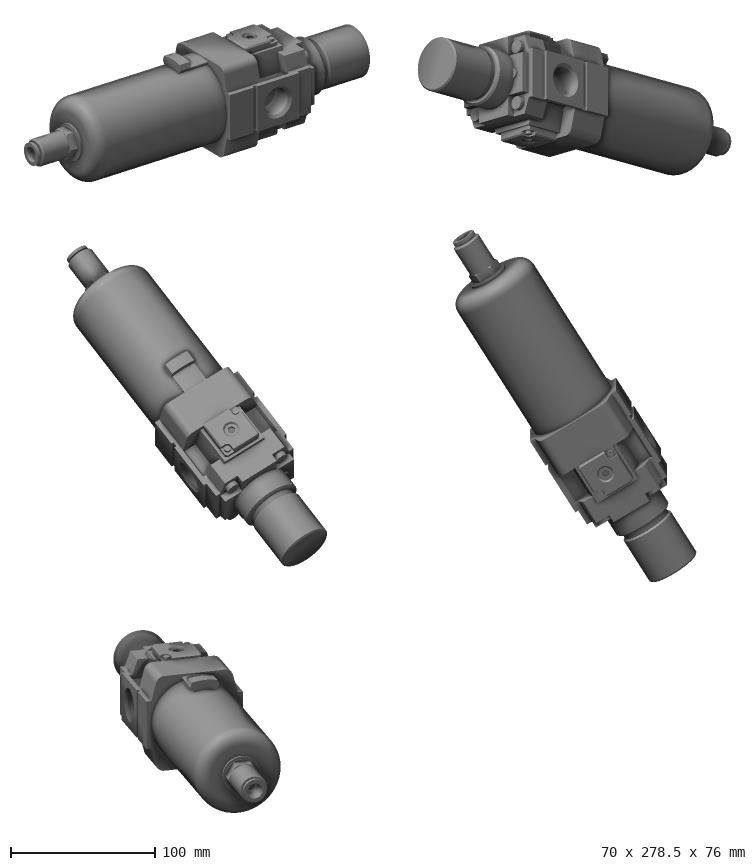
import cadquery as cq
import math


TOTAL_LENGTH = 278.5
KNOB_END_Y = 91.5
KNOB_BASE_Y = 55.7
COLLAR_TOP_Y = 51.8
CAP_TOP_Y = 36.0
CAP_FLANGE_Y = 30.0
BODY_TOP_Y = 24.2
WING_TOP_Y = 18.5
PAD_TOP_Y = 17.5
RECESS_TOP_Y = 12.5
RECESS_BASE_Y = -12.5
SLOT_TOP_Y = -17.5
SLOT_BASE_Y = -21.0
BODY_BASE_Y = -41.2
LATCH_BLOCK_TOP_Y = -57.0
LATCH_BLOCK_BASE_Y = -65.7
BOWL_BASE_Y = -152.5
WASHER_BASE_Y = -154.3
HEX_BASE_Y = -161.0
DRAIN_BASE_Y = -183.3
DRAIN_DISC_TOP_Y = -184.6
DRAIN_END_Y = KNOB_END_Y - TOTAL_LENGTH

KNOB_RADIUS = 19.2
KNOB_CHAMFER = 1.0

NECK_RADIUS = 17.5
COLLAR_RADIUS = 21.2
COLLAR_CHAMFER = 1.5
CAP_HALF_X = 29.0
SCREW_POCKET_X = 14.5
SCREW_POCKET_Z = 14.2
SCREW_OFFSET = 20.3
SCREW_HEAD_RADIUS = 4.7
SCREW_HEAD_HEIGHT = 3.5
STOP_PIN_RADIUS = 3.5
STOP_PIN_OFFSET = 20.3
STOP_PIN_HEIGHT = 1.7

WING_HALF_Z = 17.5
NECK_HALF_Z = 28.5
NECK_HALF_X_AT_WING = 29.0
NECK_HALF_X_AT_FACE = 25.0
NECK_WING_HALF_X = 32.5

BODY_WIDTH = 70.0
BODY_HALF_X = BODY_WIDTH / 2
PAD_HALF_X = 16.5
PAD_HALF_Z = 31.7
RECESS_FLOOR_Z = 14.2
RECESS_INNER_X = 20.5
RECESS_OUTER_X = 29.8
RECESS_RIM_X = 31.5
SLOT_HALF_X = 33.1
BASE_HALF_Z = 35.0
BASE_HALF_X_AT_WING = 31.2
BASE_HALF_X_AT_FACE = 26.7
BASE_CORNER_RADIUS = 6.0
PORT_RADIUS = 10.0
PORT_MOUTH_DIAMETER = 24.2
PORT_MOUTH_RADIUS = PORT_MOUTH_DIAMETER / 2
PORT_DEPTH = 16.7
PORT_POINT_HALF_ANGLE = 60

PLATE_HALF_X = 14.2
PLATE_TOP_Y = 16.0
PLATE_FACE_Z = 37.3
PLATE_CHAMFER = 1.0
PLATE_CORNER_CHAMFER = 1.5
PLATE_CHAMFER_HEIGHT = 0.8
PLUG_RADIUS = 5.8
PLUG_INNER_RADIUS = 4.7
PLUG_DEPTH = 1.0
SOCKET_ACROSS_FLATS = 5.0
SOCKET_DEPTH = 1.7
NOTCH_RADIUS = 3.0
NOTCH_OFFSET_X = 10.5
NOTCH_OFFSET_Y = 10.3
NOTCH_DEPTH = 2.8
POST_RADIUS = 2.2
POST_HEIGHT = 2.2

BOWL_RADIUS = 31.2
BOWL_CORNER_RADIUS = 9.2
WASHER_RADIUS = 13.6
HEX_SEAT_RADIUS = 12.0
HEX_SEAT_HEIGHT = 0.42
HEX_ACROSS_FLATS = 20.0
HEX_CHAMFER = 0.8
DRAIN_RADIUS = 10.0
DRAIN_CHAMFER = 0.8
DRAIN_GROOVE_RADIUS = 5.8
DRAIN_DISC_RADIUS = 8.4
DRAIN_BORE_RADIUS = 4.5
DRAIN_BORE_CHAMFER = 1.0
DRAIN_BORE_DEPTH = 14.0

LATCH_FOOT_HALF_X = 7.5
LATCH_FOOT_Z = 29.8
LATCH_ROOT_Z = 27.3
LATCH_FLANK_SLOPE = 1.3
LATCH_RAIL_HALF_X = 9.2
LATCH_RAIL_TOP_Z = 34.3
LATCH_BLOCK_HALF_X = 10.5
LATCH_BLOCK_TOP_HALF_X = 9.2
LATCH_BLOCK_TOP_Z = 38.7


def mirrored_section(quarter):
    """Closed outline from the points of the +X +Z quarter, wing side first."""
    right = [(x, -z) for x, z in reversed(quarter)] + quarter
    left = [(-x, z) for x, z in reversed(right)]
    return right + left


def prism(points, top_y, base_y):
    """Solid with the given XZ outline between two Y stations."""
    return cq.Workplane("XZ", origin=(0, top_y, 0)).polyline(points).close().extrude(top_y - base_y)


def cylinder(radius, top_y, base_y, x=0.0, z=0.0):
    return cq.Workplane("XZ", origin=(x, top_y, z)).circle(radius).extrude(top_y - base_y)


def block(half_x, half_z, top_y, base_y):
    return cq.Workplane("XZ", origin=(0, top_y, 0)).rect(2 * half_x, 2 * half_z).extrude(top_y - base_y)


def neck_prism(top_y, base_y):
    """Flanked section with a narrow wing on each side."""
    outline = mirrored_section([
        (NECK_WING_HALF_X, WING_HALF_Z),
        (NECK_HALF_X_AT_WING, WING_HALF_Z),
        (NECK_HALF_X_AT_FACE, NECK_HALF_Z),
    ])
    return prism(outline, top_y, base_y)


def make_knob():
    knob = cylinder(KNOB_RADIUS, KNOB_END_Y, KNOB_BASE_Y)
    return knob.faces("<Y or >Y").chamfer(KNOB_CHAMFER)


def make_bonnet():
    bonnet = neck_prism(CAP_FLANGE_Y, BODY_TOP_Y)
    bonnet = bonnet.union(block(CAP_HALF_X, SCREW_POCKET_Z, CAP_TOP_Y, CAP_FLANGE_Y))
    bonnet = bonnet.union(block(SCREW_POCKET_X, NECK_HALF_Z, CAP_TOP_Y, CAP_FLANGE_Y))
    for x in (-SCREW_OFFSET, SCREW_OFFSET):
        for z in (-SCREW_OFFSET, SCREW_OFFSET):
            head_top = CAP_FLANGE_Y + SCREW_HEAD_HEIGHT
            bonnet = bonnet.union(cylinder(SCREW_HEAD_RADIUS, head_top, CAP_FLANGE_Y, x, z))
    collar = cylinder(COLLAR_RADIUS, COLLAR_TOP_Y, CAP_TOP_Y).faces(">Y").chamfer(COLLAR_CHAMFER)
    bonnet = bonnet.union(collar)
    bonnet = bonnet.union(cylinder(NECK_RADIUS, KNOB_BASE_Y, COLLAR_TOP_Y))
    pin_top = CAP_TOP_Y + STOP_PIN_HEIGHT
    return bonnet.union(cylinder(STOP_PIN_RADIUS, pin_top, CAP_TOP_Y, -STOP_PIN_OFFSET))


def body_middle():
    """Port section: raised pads above and below, with a recess on each side of a pad."""
    middle = prism(mirrored_section([
        (BODY_HALF_X, WING_HALF_Z),
        (RECESS_RIM_X, WING_HALF_Z),
        (RECESS_OUTER_X, RECESS_FLOOR_Z),
        (RECESS_INNER_X, RECESS_FLOOR_Z),
        (PAD_HALF_X, PAD_HALF_Z),
    ]), RECESS_TOP_Y, RECESS_BASE_Y)
    pad_ends = prism(mirrored_section([
        (RECESS_INNER_X, RECESS_FLOOR_Z),
        (PAD_HALF_X, PAD_HALF_Z),
    ]), PAD_TOP_Y, RECESS_TOP_Y)
    wing_ends = block(BODY_HALF_X, WING_HALF_Z, WING_TOP_Y, RECESS_TOP_Y)
    return middle.union(pad_ends).union(wing_ends)


def body_base():
    """Thick section that carries the bowl, with a spacer slot across each wing."""
    shell = prism(mirrored_section([
        (BASE_HALF_X_AT_WING, WING_HALF_Z),
        (BASE_HALF_X_AT_FACE, BASE_HALF_Z),
    ]), RECESS_BASE_Y, BODY_BASE_Y)
    shell = shell.faces(">Z or <Z").edges("|Y").fillet(BASE_CORNER_RADIUS)
    upper_wing = block(BODY_HALF_X, WING_HALF_Z, RECESS_BASE_Y, SLOT_TOP_Y)
    slot_core = block(SLOT_HALF_X, WING_HALF_Z, SLOT_TOP_Y, SLOT_BASE_Y)
    lower_wing = block(BODY_HALF_X, WING_HALF_Z, SLOT_BASE_Y, BODY_BASE_Y)
    return shell.union(upper_wing).union(slot_core).union(lower_wing)


def port(side):
    """Countersunk blind hole along X with a drill point; side is -1 or +1."""
    mouth = PORT_MOUTH_RADIUS - PORT_RADIUS
    point = PORT_RADIUS / math.tan(math.radians(PORT_POINT_HALF_ANGLE))
    floor_x = BODY_HALF_X - PORT_DEPTH
    profile = [
        (side * BODY_HALF_X, 0),
        (side * BODY_HALF_X, PORT_MOUTH_RADIUS),
        (side * (BODY_HALF_X - mouth), PORT_RADIUS),
        (side * floor_x, PORT_RADIUS),
        (side * (floor_x - point), 0),
    ]
    return cq.Workplane("XY").polyline(profile).close().revolve(360, (0, 0, 0), (1, 0, 0))


def make_body():
    body = neck_prism(BODY_TOP_Y, RECESS_TOP_Y).union(body_middle()).union(body_base())
    for side in (-1, 1):
        body = body.cut(port(side))
    return body


def make_plate():
    """Cover plate on the upper pad."""
    length = PLATE_TOP_Y - RECESS_BASE_Y
    center_y = (PLATE_TOP_Y + RECESS_BASE_Y) / 2
    plate = (
        cq.Workplane("XY", origin=(0, center_y, PAD_HALF_Z))
        .rect(2 * PLATE_HALF_X, length)
        .extrude(PLATE_FACE_Z - PAD_HALF_Z)
        .edges("|Z")
        .chamfer(PLATE_CORNER_CHAMFER)
        .faces(">Z")
        .chamfer(PLATE_CHAMFER_HEIGHT, PLATE_CHAMFER)
    )
    face = cq.Workplane("XY", origin=(0, center_y, PLATE_FACE_Z))
    sink = face.circle(PLUG_RADIUS).workplane(offset=-PLUG_DEPTH).circle(PLUG_INNER_RADIUS).loft()
    socket_diameter = SOCKET_ACROSS_FLATS / math.cos(math.pi / 6)
    socket = face.polygon(6, socket_diameter).extrude(-PLUG_DEPTH - SOCKET_DEPTH)
    plate = plate.cut(sink).cut(socket)
    reach_x = PLATE_HALF_X - NOTCH_OFFSET_X
    reach_y = length / 2 - NOTCH_OFFSET_Y
    for turn in (0, 180):
        center = face.center(NOTCH_OFFSET_X, NOTCH_OFFSET_Y)
        notch = (
            center.center((reach_x - NOTCH_RADIUS) / 2, (reach_y - NOTCH_RADIUS) / 2)
            .rect(reach_x + NOTCH_RADIUS, reach_y + NOTCH_RADIUS)
            .extrude(-NOTCH_DEPTH)
            .edges("|Z and <X and <Y")
            .fillet(NOTCH_RADIUS)
        )
        post = center.workplane(offset=-NOTCH_DEPTH).circle(POST_RADIUS).extrude(POST_HEIGHT)
        axis_end = (0, center_y, 1)
        plate = plate.cut(notch.rotate((0, center_y, 0), axis_end, turn))
        plate = plate.union(post.rotate((0, center_y, 0), axis_end, turn))
    return plate


def make_bowl():
    """Bowl with its drain fitting and latch."""
    bowl = cylinder(BOWL_RADIUS, BODY_BASE_Y, BOWL_BASE_Y).faces("<Y").edges().fillet(BOWL_CORNER_RADIUS)
    return bowl.union(drain_fitting()).union(latch_rail()).union(latch_block())


def drain_fitting():
    hex_diameter = HEX_ACROSS_FLATS / math.cos(math.pi / 6)
    fitting = cylinder(WASHER_RADIUS, BOWL_BASE_Y, WASHER_BASE_Y)
    hex_seat = cylinder(HEX_SEAT_RADIUS, WASHER_BASE_Y, WASHER_BASE_Y - HEX_SEAT_HEIGHT)
    hexagon = (
        cq.Workplane("XZ", origin=(0, WASHER_BASE_Y, 0))
        .polygon(6, hex_diameter)
        .extrude(WASHER_BASE_Y - HEX_BASE_Y)
    )
    hex_round = cylinder(hex_diameter / 2, WASHER_BASE_Y, HEX_BASE_Y).faces("<Y").chamfer(HEX_CHAMFER)
    tube = cylinder(DRAIN_RADIUS, HEX_BASE_Y, DRAIN_BASE_Y).faces("<Y").chamfer(DRAIN_CHAMFER)
    fitting = fitting.union(hex_seat).union(hexagon.intersect(hex_round)).union(tube)
    fitting = fitting.union(cylinder(DRAIN_GROOVE_RADIUS, DRAIN_BASE_Y, DRAIN_DISC_TOP_Y))
    fitting = fitting.union(cylinder(DRAIN_DISC_RADIUS, DRAIN_DISC_TOP_Y, DRAIN_END_Y))
    bore = cylinder(DRAIN_BORE_RADIUS, DRAIN_END_Y + DRAIN_BORE_DEPTH, DRAIN_END_Y)
    bore_rim = cq.selectors.RadiusNthSelector(0)
    return fitting.cut(bore).faces("<Y").edges(bore_rim).chamfer(DRAIN_BORE_CHAMFER)


def latch_prism(half_x, shoulder_half_x, top_z, top_y, base_y):
    """Undercut bar on the bowl whose crown is concentric with the bowl."""
    flank_z = LATCH_FOOT_Z + LATCH_FLANK_SLOPE * (half_x - LATCH_FOOT_HALF_X)
    shoulder_z = math.sqrt(top_z ** 2 - shoulder_half_x ** 2)
    return (
        cq.Workplane("XZ", origin=(0, top_y, 0))
        .moveTo(-LATCH_FOOT_HALF_X, LATCH_ROOT_Z)
        .lineTo(-LATCH_FOOT_HALF_X, LATCH_FOOT_Z)
        .lineTo(-half_x, flank_z)
        .lineTo(-shoulder_half_x, shoulder_z)
        .threePointArc((0, top_z), (shoulder_half_x, shoulder_z))
        .lineTo(half_x, flank_z)
        .lineTo(LATCH_FOOT_HALF_X, LATCH_FOOT_Z)
        .lineTo(LATCH_FOOT_HALF_X, LATCH_ROOT_Z)
        .close()
        .extrude(top_y - base_y)
    )


def latch_rail():
    return latch_prism(LATCH_RAIL_HALF_X, LATCH_RAIL_HALF_X, LATCH_RAIL_TOP_Z,
                       BODY_BASE_Y, LATCH_BLOCK_TOP_Y)


def latch_block():
    return latch_prism(LATCH_BLOCK_HALF_X, LATCH_BLOCK_TOP_HALF_X, LATCH_BLOCK_TOP_Z,
                       LATCH_BLOCK_TOP_Y, LATCH_BLOCK_BASE_Y)


knob = make_knob()
bonnet = make_bonnet()
body = make_body()
bowl = make_bowl()
plates = [make_plate().rotate((0, 0, 0), (0, 1, 0), angle) for angle in (0, 180)]

result = cq.Compound.makeCompound([
    knob.val(),
    bonnet.val(),
    body.val(),
    bowl.val(),
    *[plate.val() for plate in plates],
])